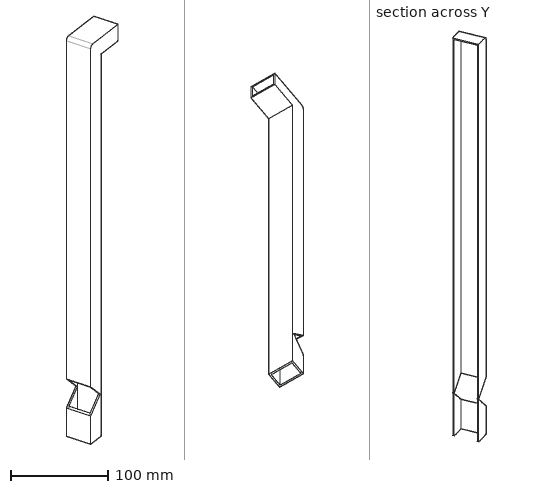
import cadquery as cq

width = 30.0
depth = 52.0
height = 475.7

tube_thickness = 20.0
wall = 2.0
bend_radius = 4.0

notch_bottom = 34.0
notch_opening = 34.5


def side_prism(points, prism_width):
    """Extrude a (Y, Z) outline symmetrically about the X = 0 plane."""
    return cq.Workplane("YZ").polyline(points).close().extrude(prism_width / 2, both=True)


def bent_bar(inset):
    """Upright post with a rearward top leg, shrunk by inset except at its open ends."""
    front = inset
    back = tube_thickness - inset
    top = height - inset
    leg_underside = height - tube_thickness + inset
    outline = [
        (front, 0),
        (front, top),
        (depth, top),
        (depth, leg_underside),
        (back, leg_underside),
        (back, 0),
    ]
    bar = side_prism(outline, width - 2 * inset)
    outer_corner = bar.faces("<Y").edges(">Z")
    return outer_corner.fillet(bend_radius - inset)


def front_notch():
    """V-shaped cut that leaves only the rear wall at its apex."""
    apex = (tube_thickness - wall, notch_bottom + notch_opening / 2)
    outline = [(0, notch_bottom), apex, (0, notch_bottom + notch_opening)]
    return side_prism(outline, width)


result = bent_bar(0).cut(bent_bar(wall)).cut(front_notch())